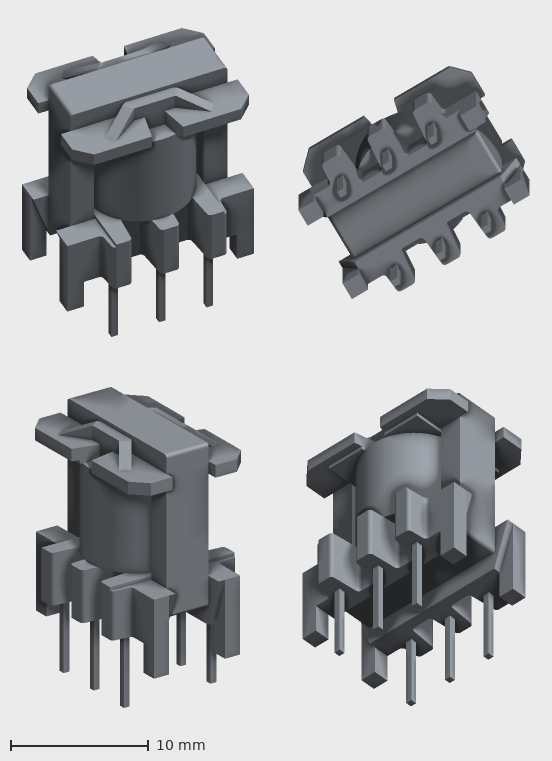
import cadquery as cq
import math


height = 20.3

core_width = 3.74
core_length = 12.6
core_bottom = 7.3
limb = 1.89
core_edge_radius = 0.28
core_middle = (core_bottom + height) / 2

winding_diameter = 8.5
winding_height = 7.53
plate_size = 8.7
winding_top = core_middle + winding_height / 2
winding_bottom = core_middle - winding_height / 2
window_top = height - limb
window_bottom = core_bottom + limb
rim = 0.28
side_gap = 1.9

flange_thickness = 1.0
flange_half_width = 5.0
flange_half_length = 7.1
flange_chamfer = 1.2
flange_bottom = winding_top + rim
flange_top = flange_bottom + flange_thickness
slot_outer_half = 1.25
slot_inner_half = 0.81

ridge_top = 20.0
ridge_thickness = 0.91
wall_half_length = 1.65
wall_face = side_gap + ridge_thickness
rib_angle = 55.0
rib_length = 2.72
rib_level = 0.06
rib_edge_radius = 0.28

base_bottom = 5.85
base_top = winding_bottom
shoulder_top = base_top - rim
base_length = 15.0
base_half_length = base_length / 2
arm_face = 3.82
block_face = 5.5
block_face_half = 0.75
block_root_half = 0.97
block_radius = 0.3
fillet_zone = 5.48

foot_size = 1.34
foot_bottom = 3.5
foot_inner_x = arm_face - foot_size
foot_inner_y = base_half_length - foot_size
pin_size = 0.5
pin_row_gap = 7.65
pin_pitch = pin_row_gap / 2
pin_places = (-pin_pitch, 0, pin_pitch)


def slab(length_x, length_y, z_low, z_high):
    """A centred rectangular block between two heights."""
    return cq.Workplane().workplane(offset=z_low).rect(length_x, length_y).extrude(z_high - z_low)


def prism(points, z_low, z_high):
    """A plan outline extruded between two heights."""
    return cq.Workplane().workplane(offset=z_low).polyline(points).close().extrude(z_high - z_low)


def make_core():
    frame = slab(core_width, core_length, core_bottom, height).edges("|X").fillet(core_edge_radius)
    window = slab(core_width, core_length - 2 * limb, window_bottom, window_top)
    return frame.cut(window)


def make_spool():
    """Winding with a square plate above it and a plate between the base halves below it."""
    winding = (
        cq.Workplane()
        .workplane(offset=winding_bottom)
        .circle(winding_diameter / 2)
        .extrude(winding_height)
    )
    upper_plate = slab(plate_size, plate_size, winding_top, flange_bottom)
    upper_pad = slab(2 * side_gap, plate_size, flange_bottom, window_top)
    lower_pad = slab(2 * side_gap, plate_size, window_bottom, winding_bottom)
    return winding.union(upper_plate).union(upper_pad).union(lower_pad)


def make_flange():
    chamfer_x = flange_half_width - flange_chamfer
    chamfer_y = flange_half_length - flange_chamfer
    return prism(
        [
            (side_gap, -flange_half_length),
            (chamfer_x, -flange_half_length),
            (flange_half_width, -chamfer_y),
            (flange_half_width, chamfer_y),
            (chamfer_x, flange_half_length),
            (side_gap, flange_half_length),
        ],
        flange_bottom,
        flange_top,
    )


def make_slot():
    """Tapered slot that cuts the flange and the upper plate down to the winding."""
    return prism(
        [
            (wall_face, -slot_inner_half),
            (flange_half_width, -slot_outer_half),
            (flange_half_width, slot_outer_half),
            (wall_face, slot_inner_half),
        ],
        winding_top,
        flange_top,
    )


def make_rib():
    """Rib at the +Y end of the wall, sloping down to the flange."""
    angle = math.radians(rib_angle)
    along = cq.Vector(math.cos(angle), math.sin(angle), 0)
    start = cq.Vector(wall_face, wall_half_length, 0)
    side = cq.Plane(origin=start, xDir=along, normal=along.cross(cq.Vector(0, 0, 1)))
    slope_start = start + along * rib_level + cq.Vector(0, 0, ridge_top)
    return (
        cq.Workplane(side)
        .moveTo(0, flange_bottom)
        .lineTo(0, ridge_top)
        .lineTo(rib_level, ridge_top)
        .lineTo(rib_length, flange_top)
        .lineTo(rib_length, flange_bottom)
        .close()
        .extrude(-ridge_thickness)
        .edges(cq.NearestToPointSelector((slope_start - side.zDir * (ridge_thickness / 2)).toTuple()))
        .fillet(rib_edge_radius)
    )


def make_ridge():
    angle = math.radians(rib_angle)
    corner_x = wall_face - ridge_thickness * math.sin(angle)
    corner_y = wall_half_length + ridge_thickness * math.cos(angle)
    inner_y = corner_y - (corner_x - side_gap) * math.tan(angle)
    wall = prism(
        [
            (side_gap, -inner_y),
            (corner_x, -corner_y),
            (wall_face, -wall_half_length),
            (wall_face, wall_half_length),
            (corner_x, corner_y),
            (side_gap, inner_y),
        ],
        flange_bottom,
        ridge_top,
    )
    rib = make_rib()
    return wall.union(rib).union(rib.mirror("XZ"))


def block_half_width(x):
    """Half width of a pin block, which tapers from its root to its outer face."""
    taper = (block_root_half - block_face_half) / (block_face - wall_face)
    return block_face_half + taper * (block_face - x)


def make_base():
    points = [(side_gap, -base_half_length), (arm_face, -base_half_length)]
    for pin_y in pin_places:
        low_root = arm_face if pin_y == min(pin_places) else wall_face
        high_root = arm_face if pin_y == max(pin_places) else wall_face
        points += [
            (low_root, pin_y - block_half_width(low_root)),
            (block_face, pin_y - block_face_half),
            (block_face, pin_y + block_face_half),
            (high_root, pin_y + block_half_width(high_root)),
        ]
    points += [(arm_face, base_half_length), (side_gap, base_half_length)]
    rounded_edges = cq.selectors.BoxSelector(
        (foot_inner_x, -fillet_zone, base_bottom),
        (2 * block_face, fillet_zone, base_top),
    )
    base = prism(points, base_bottom, base_top).edges("|Z").edges(rounded_edges).fillet(block_radius)

    raised = slab(2 * block_face, plate_size, shoulder_top, base_top)
    lowered = slab(2 * block_face, 2 * base_half_length, shoulder_top, base_top).cut(raised)
    base = base.cut(lowered)

    for end in (-1, 1):
        slope = (
            cq.Workplane("YZ", origin=(side_gap, 0, 0))
            .moveTo(end * base_half_length, shoulder_top)
            .lineTo(end * base_half_length, base_bottom)
            .lineTo(end * foot_inner_y, base_bottom)
            .close()
            .extrude(foot_inner_x - side_gap)
        )
        base = base.cut(slope)
    return base


def make_feet():
    foot_x = arm_face - foot_size / 2
    foot_y = base_half_length - foot_size / 2
    return (
        cq.Workplane()
        .workplane(offset=foot_bottom)
        .pushPoints([(foot_x, -foot_y), (foot_x, foot_y)])
        .rect(foot_size, foot_size)
        .extrude(shoulder_top - foot_bottom)
    )


def make_pins():
    return (
        cq.Workplane()
        .pushPoints([(pin_row_gap / 2, pin_y) for pin_y in pin_places])
        .rect(pin_size, pin_size)
        .extrude(base_bottom)
    )


def make_former():
    slot = make_slot()
    half = make_flange().cut(slot).union(make_ridge())
    half = half.union(make_base()).union(make_feet()).union(make_pins())
    spool = make_spool().cut(slot).cut(slot.mirror("YZ"))
    return spool.union(half).union(half.mirror("YZ"))


core = make_core()
former = make_former()

result = cq.Compound.makeCompound([core.solids().val(), former.solids().val()])